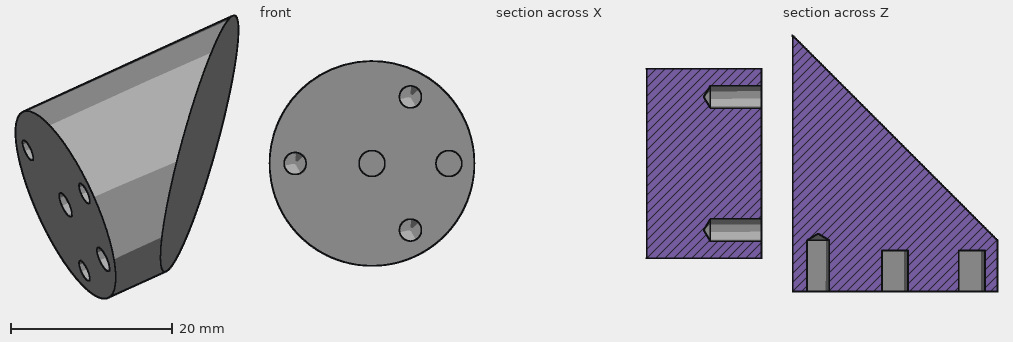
import cadquery as cq
import math

diameter = 25.4
long_side = 31.75
short_side = 6.35

ring_radius = 9.52
drilled_diameter = 2.73
drilled_depth = 6.35
drill_point_angle = 118.0
flat_diameter = 3.2
flat_depth = 5.08

radius = diameter / 2
drilled_angles = (60, 180, 300)
flat_centers = ((0, 0), (ring_radius, 0))


def slanted_cylinder():
    """Cylinder with a flat face at Y = 0 and a slanted end, longest at -X."""
    cylinder = cq.Workplane("XZ").circle(radius).extrude(-long_side)
    side_profile = (
        cq.Workplane("XY")
        .polyline([(-radius, 0), (radius, 0), (radius, short_side), (-radius, long_side)])
        .close()
        .extrude(radius, both=True)
    )
    return cylinder.intersect(side_profile)


def flat_hole(x, z):
    """Flat-bottomed hole, starting at the flat face."""
    return cq.Workplane("XZ").center(x, z).circle(flat_diameter / 2).extrude(-flat_depth)


def drilled_hole(x, z):
    """Hole with a conical bottom, starting at the flat face."""
    hole_radius = drilled_diameter / 2
    point_length = hole_radius / math.tan(math.radians(drill_point_angle / 2))
    half_section = [
        (0, 0),
        (hole_radius, 0),
        (hole_radius, drilled_depth),
        (0, drilled_depth + point_length),
    ]
    hole = cq.Workplane("XY").polyline(half_section).close().revolve(360, (0, 0), (0, 1))
    return hole.translate((x, 0, z))


result = slanted_cylinder()

for x, z in flat_centers:
    result = result.cut(flat_hole(x, z))

for angle in drilled_angles:
    turn = math.radians(angle)
    result = result.cut(drilled_hole(ring_radius * math.cos(turn), ring_radius * math.sin(turn)))